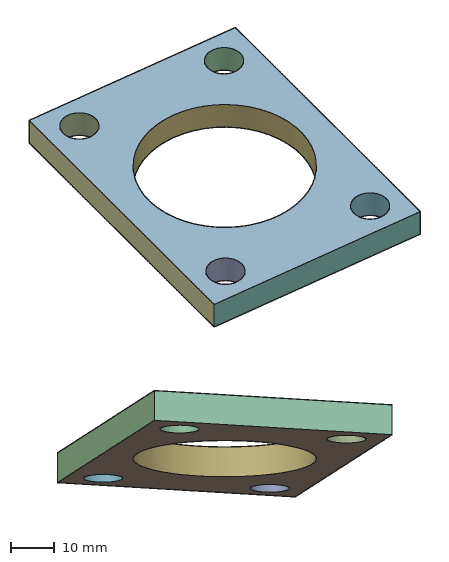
import cadquery as cq

length = 76.0
width = 57.0
thickness = 7.0

bore_diameter = 42.0

hole_diameter = 9.0
hole_spacing_x = 60.0
hole_spacing_y = 40.0

plate = cq.Workplane("XY").box(length, width, thickness)

bored_plate = plate.faces(">Z").workplane().hole(bore_diameter)

result = (
    bored_plate.faces(">Z")
    .workplane(origin=(0, 0, 0))
    .rect(hole_spacing_x, hole_spacing_y, forConstruction=True)
    .vertices()
    .hole(hole_diameter)
)